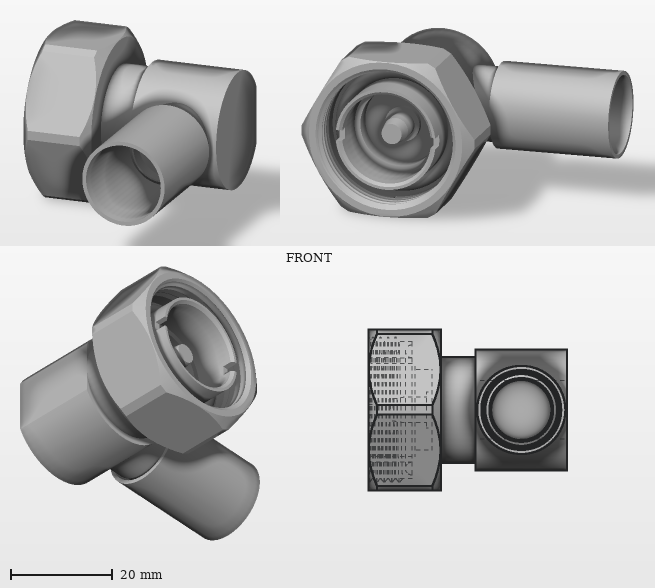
import cadquery as cq
import math


overall_length = 57.15

flats_width = 31.8
corner_width = 35.6
nut_length = 14.35
nut_bevel_length = 1.7
nut_face_radius = 15.8
bevel_slope = 1.2

thread_root_radius = 14.4
thread_crest_radius = 13.5
thread_overlap_radius = 13.45
thread_lead_in = 0.85
thread_pitch = 1.5
thread_groove_width = 1.45
thread_turns = 4
thread_start_x = 0.2
bore_floor_x = 8.6
gasket_ring_radius = 11.55
gasket_wire_radius = 1.25

tube_outer_radius = 10.3
tube_bore_radius = 9.15
tube_lead_in = 0.6
tube_floor_x = 9.2
slot_width = 2.25
slot_depth = 2.6

recess_radius = 7.95
recess_floor_x = 12.6
collar_radius = 3.55
collar_x = 11.45
pin_radius = 2.5
pin_tip_radius = 2.05
pin_taper_length = 2.85
pin_tip_x = 4.1

neck_radius = 10.45
barrel_radius = 11.95
barrel_start_x = 21.1
barrel_end_x = 39.2
cable_axis_x = (barrel_start_x + barrel_end_x) / 2

ferrule_outer_radius = 8.7
ferrule_bore_radius = 7.9
ferrule_start_y = -14.8
ferrule_end_y = corner_width / 2 - overall_length
stub_radius = 7.5
nose_radius = 7.1
nose_tip_radius = 6.3
nose_length = 3.45
stub_bore_radius = 5.95
stub_bore_depth = 2.85


def x_cylinder(radius, start_x, end_x):
    """Solid cylinder on the coupling axis."""
    return cq.Workplane("YZ", origin=(start_x, 0, 0)).circle(radius).extrude(end_x - start_x)


def y_cylinder(radius, start_y, end_y):
    """Solid cylinder on the cable axis, running towards -Y."""
    plane = cq.Workplane("XZ", origin=(cable_axis_x, start_y, 0))
    return plane.circle(radius).extrude(start_y - end_y)


def revolve_about_x(points):
    """Revolve a closed (x, radius) outline about the coupling axis."""
    return cq.Workplane("XY").polyline(points).close().revolve(360, (0, 0, 0), (1, 0, 0))


def hexagon_prism(width_across_flats):
    """Regular hexagonal prism with corners on the Y axis."""
    corner_diameter = width_across_flats / math.cos(math.pi / 6)
    return cq.Workplane("YZ").polygon(6, corner_diameter).extrude(nut_length)


def coupling_hexagon():
    """Hexagon with flattened corners and conical bevels at both ends."""
    corner_flats = hexagon_prism(corner_width).rotate((0, 0, 0), (1, 0, 0), 30)
    corner_radius = nut_face_radius + nut_bevel_length * bevel_slope
    bevels = revolve_about_x([
        (0, 0),
        (0, nut_face_radius),
        (nut_bevel_length, corner_radius),
        (nut_length - nut_bevel_length, corner_radius),
        (nut_length, nut_face_radius),
        (nut_length, 0),
    ])
    return hexagon_prism(flats_width).intersect(corner_flats).intersect(bevels)


def plain_bore():
    """Bore of the coupling end with a conical lead-in at the mating face."""
    return revolve_about_x([
        (0, 0),
        (0, thread_root_radius),
        (thread_lead_in, thread_crest_radius),
        (bore_floor_x, thread_crest_radius),
        (bore_floor_x, 0),
    ])


def thread_groove():
    """Helical V groove cut outward from the bore."""
    half_width = thread_groove_width / 2
    section = cq.Workplane("XZ", origin=(thread_overlap_radius, 0, 0)).polyline([
        (0, -half_width),
        (thread_root_radius - thread_overlap_radius, 0),
        (0, half_width),
    ]).close()
    helix = cq.Wire.makeHelix(thread_pitch, thread_turns * thread_pitch, thread_overlap_radius)
    groove = section.sweep(cq.Workplane(obj=helix), isFrenet=True)
    return groove.rotate((0, 0, 0), (0, 1, 0), 90).translate((thread_start_x, 0, 0))


def gasket_ring():
    """Round sealing bead around the foot of the contact tube."""
    section = cq.Workplane("XY").center(bore_floor_x, gasket_ring_radius).circle(gasket_wire_radius)
    return section.revolve(360, (0, -gasket_ring_radius, 0), (1, -gasket_ring_radius, 0))


def contact_tube():
    """Tube with a lead-in chamfer, two slots in its rim and a recess in its floor."""
    tube = x_cylinder(tube_outer_radius, 0, nut_length)
    bore = revolve_about_x([
        (0, 0),
        (0, tube_bore_radius + tube_lead_in),
        (tube_lead_in, tube_bore_radius),
        (tube_floor_x, tube_bore_radius),
        (tube_floor_x, recess_radius),
        (recess_floor_x, recess_radius),
        (recess_floor_x, 0),
    ])
    slots = cq.Workplane("XY").box(
        slot_depth, 2 * tube_outer_radius, slot_width, centered=(False, True, True)
    )
    return tube.cut(bore).cut(slots)


def centre_contact():
    """Tapered pin standing on a collar."""
    return revolve_about_x([
        (pin_tip_x, 0),
        (pin_tip_x, pin_tip_radius),
        (pin_tip_x + pin_taper_length, pin_radius),
        (collar_x, pin_radius),
        (collar_x, collar_radius),
        (recess_floor_x, collar_radius),
        (recess_floor_x, 0),
    ])


def elbow_barrel():
    """Neck and barrel, with the far side of the barrel cut flat level with the neck."""
    neck = x_cylinder(neck_radius, nut_length, barrel_start_x)
    barrel = x_cylinder(barrel_radius, barrel_start_x, barrel_end_x)
    flat_cut = cq.Workplane("XY").box(
        barrel_end_x, barrel_radius, 2 * barrel_radius, centered=(False, False, True)
    ).translate((barrel_start_x, neck_radius, 0))
    return neck.union(barrel.cut(flat_cut))


def cable_stub():
    """Stub with a tapered, bored nose that reaches into the ferrule."""
    stub = y_cylinder(stub_radius, 0, ferrule_start_y)
    nose_end_y = ferrule_start_y - nose_length
    nose = y_cylinder(nose_radius, ferrule_start_y, nose_end_y)
    nose = nose.faces("<Y").chamfer(nose_radius - nose_tip_radius)
    bore = y_cylinder(stub_bore_radius, nose_end_y + stub_bore_depth, nose_end_y)
    return stub.union(nose).cut(bore)


def connector_body():
    """Coupling end, contacts, elbow and cable stub as one solid."""
    coupling = coupling_hexagon().cut(plain_bore()).cut(thread_groove()).union(gasket_ring())
    clearance = x_cylinder(tube_outer_radius, 0, nut_length)
    body = coupling.cut(clearance).union(contact_tube()).union(centre_contact())
    return body.union(elbow_barrel()).union(cable_stub())


def crimp_ferrule():
    """Plain sleeve that surrounds the stub nose with a clearance gap."""
    sleeve = y_cylinder(ferrule_outer_radius, ferrule_start_y, ferrule_end_y)
    return sleeve.cut(y_cylinder(ferrule_bore_radius, ferrule_start_y, ferrule_end_y))


connector = connector_body()
ferrule = crimp_ferrule()

result = cq.Compound.makeCompound([connector.val(), ferrule.val()])